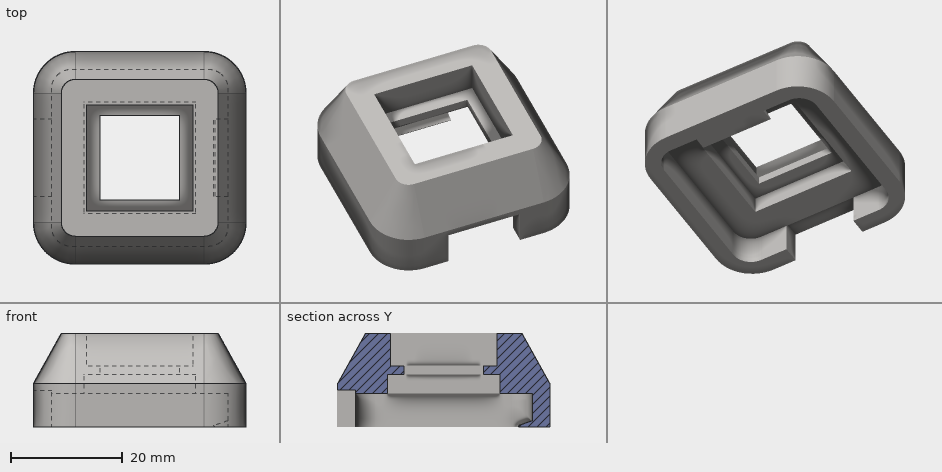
import cadquery as cq

base_size = 38.1
base_corner_radius = 7.5
skirt_height = 7.8
total_height = 16.8
cap_inset = 5.0

recess_size = 19.0
recess_depth = 5.8
window_x = 14.2
window_y = 15.1
ledge_thickness = 1.6

pocket_size = 20.0
wall_thickness = 3.2
cavity_height = 6.0
cavity_corner_radius = 3.6

slot_width = 13.9
slot_height = 6.6

tongue_reach = 2.6
tongue_root_height = 1.2
tongue_tip_z = 0.31
tongue_nose_setback = 0.185
tongue_overlap = 0.5

recess_floor_z = total_height - recess_depth
ledge_bottom_z = recess_floor_z - ledge_thickness
cavity_size = base_size - 2 * wall_thickness


def block(size_x, size_y, bottom_z, top_z):
    """Box centred on the Z axis between two heights."""
    return cq.Workplane("XY", origin=(0, 0, bottom_z)).rect(size_x, size_y).extrude(top_z - bottom_z)


def rounded_outline(size, radius):
    """Square outline with rounded corners."""
    return cq.Sketch().rect(size, size).vertices().fillet(radius)


def make_outer_body():
    """Skirt with the tapered cap; the corners narrow into cone sections."""
    cap_height = total_height - skirt_height
    raise_to_top = cq.Location(cq.Vector(0, 0, cap_height))
    base_outline = rounded_outline(base_size, base_corner_radius)
    top_outline = rounded_outline(base_size - 2 * cap_inset, base_corner_radius - cap_inset)
    skirt = cq.Workplane("XY").placeSketch(base_outline).extrude(skirt_height)
    cap = (
        cq.Workplane("XY", origin=(0, 0, skirt_height))
        .placeSketch(base_outline, top_outline.moved(raise_to_top))
        .loft(ruled=True)
    )
    return skirt.union(cap)


def cut_cavity(body):
    """Wide cavity with rounded corners, open at the bottom."""
    cavity = cq.Workplane("XY").placeSketch(rounded_outline(cavity_size, cavity_corner_radius))
    return body.cut(cavity.extrude(cavity_height))


def cut_top_opening(body):
    """Recess, window and lower pocket, stacked on the Z axis."""
    recess = block(recess_size, recess_size, recess_floor_z, total_height)
    window = block(window_x, window_y, ledge_bottom_z, recess_floor_z)
    pocket = block(pocket_size, pocket_size, cavity_height, ledge_bottom_z)
    return body.cut(recess).cut(window).cut(pocket)


def cut_cable_slot(body):
    """Slot through the -X wall, open at the bottom."""
    slot = block(wall_thickness, slot_width, 0, slot_height)
    return body.cut(slot.translate(((wall_thickness - base_size) / 2, 0, 0)))


def add_tongue(body):
    """Wedge-shaped tongue on the inside of the +X wall, facing the slot."""
    wall_x = cavity_size / 2
    tip_x = wall_x - tongue_reach
    root_x = wall_x + tongue_overlap
    profile = [
        (root_x, 0),
        (tip_x + tongue_nose_setback, 0),
        (tip_x, tongue_tip_z),
        (wall_x, tongue_root_height),
        (root_x, tongue_root_height),
    ]
    tongue = cq.Workplane("XZ").polyline(profile).close().extrude(slot_width / 2, both=True)
    return body.union(tongue)


body = cut_cavity(make_outer_body())
body = cut_top_opening(body)
body = cut_cable_slot(body)
result = add_tongue(body)